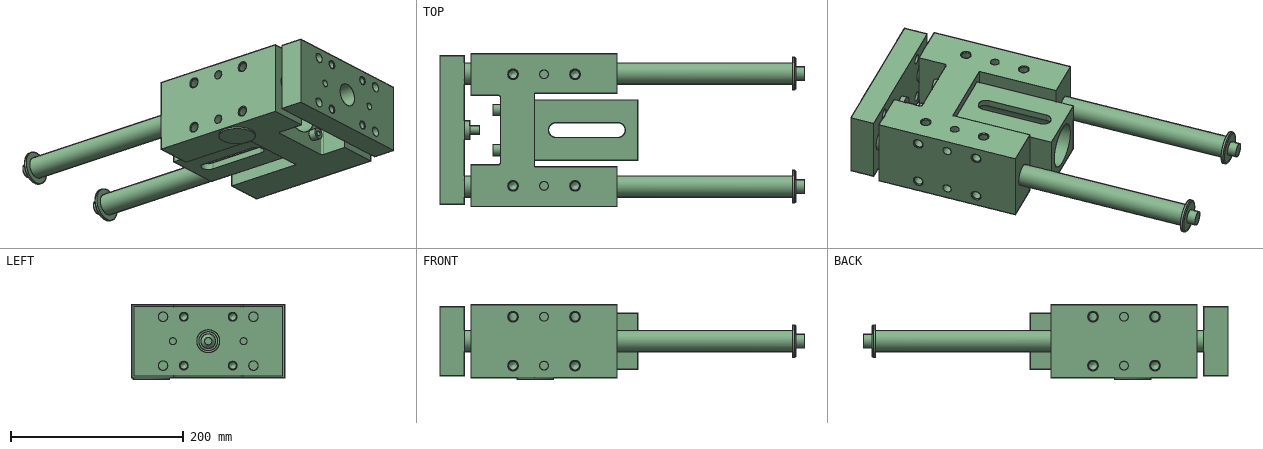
import cadquery as cq
import math


PLATE_LENGTH = 28.5
PLATE_WIDTH = 173.0
PLATE_HEIGHT = 80.5
PLATE_BORE_D = 26.5
PLATE_BORE_DEPTH = 22.0
TIP_SEAT_D = 22.0
TIP_SEAT_LENGTH = 1.3
TIP_BASE_D = 17.0
TIP_FLAT_D = 8.5
TIP_LENGTH = 4.2
COLLAR_D = 22.0
COLLAR_LENGTH = 6.5
STUD_D = 10.0
STUD_LENGTH = 11.5

HOLE_ROW_Z = 28.5
PLATE_CLEARANCE_Y = 52.5
PLATE_CLEARANCE_D = 11.0
PLATE_TAPPED_Y = 28.5
PLATE_TAPPED_D = 8.5
PLATE_TAPPED_MOUTH_D = 10.0
PLATE_TAPPED_DEPTH = 17.0
PLATE_DOWEL_Y = 41.0
PLATE_DOWEL_D = 8.0
PLATE_DOWEL_DEPTH = 12.7

ROD_D = 25.0
ROD_Y = 65.7
TOTAL_LENGTH = 424.0
ROD_END_D = 16.0
ROD_END_LENGTH = 10.0
FLANGE_D = 38.0
FLANGE_LENGTH = 4.0
FLANGE_CHAMFER = 1.3

HOUSING_START = 36.0
HOUSING_END = 206.0
HOUSING_WIDTH = 178.0
HOUSING_HEIGHT = 85.2
WEB_START = 70.5
WEB_END = 110.2
FRONT_OPENING_WIDTH = 80.5
FRONT_OPENING_FILLET = 2.5
REAR_OPENING_WIDTH = 85.2

MOUNT_CENTER_X = (HOUSING_START + HOUSING_END) / 2
MOUNT_HALF_SPACING = 36.0
MOUNT_TOP_Y = 65.0
MOUNT_D = 10.0
MOUNT_MOUTH_D = 12.5
MOUNT_DEPTH = 23.5
MOUNT_DOWEL_D = MOUNT_D
MOUNT_DOWEL_DEPTH = 10.0
DRILL_POINT_ANGLE = 118.0

BLOCK_END = 230.2
BLOCK_WIDTH = 70.5
BLOCK_HEIGHT = 65.5
SLOT_CENTER_X = 171.0
SLOT_LENGTH = 89.0
SLOT_WIDTH = 17.0
CYLINDER_BORE_D = 51.7

SCREW_HALF_SPACING = 23.5
SCREW_HEAD_D = 13.0
SCREW_HEAD_LENGTH = 9.0
SCREW_SOCKET_D = 6.0
SCREW_SOCKET_DEPTH = 4.2

PAD_X = 111.0
PAD_Y = 66.0
PAD_D = 42.5
PAD_HEIGHT = 2.0

SIDES = (-1, 1)
ALONG_X = (1, 0, 0)
DOWN = (0, 0, -1)


def rod(diameter, start, length, direction):
    """Cylinder from a start point along a direction."""
    return cq.Workplane(cq.Solid.makeCylinder(diameter / 2, length, cq.Vector(*start), cq.Vector(*direction)))


def cone(start_d, end_d, start, length, direction):
    """Truncated or pointed cone from a start point along a direction."""
    return cq.Workplane(
        cq.Solid.makeCone(start_d / 2, end_d / 2, length, cq.Vector(*start), cq.Vector(*direction))
    )


def box(x_start, x_end, width, height):
    """Box between two X positions, centred on Y = 0 and Z = 0."""
    return cq.Workplane().box(x_end - x_start, width, height).translate(((x_start + x_end) / 2, 0, 0))


def tapped_hole(diameter, mouth_d, depth, start, direction):
    """Blind hole with a 45 degree chamfered mouth and a conical drill point."""
    mouth_depth = (mouth_d - diameter) / 2
    point_length = diameter / 2 / math.tan(math.radians(DRILL_POINT_ANGLE / 2))
    bottom = cq.Vector(*start) + cq.Vector(*direction) * depth
    hole = rod(diameter, start, depth, direction)
    hole = hole.union(cone(mouth_d, diameter, start, mouth_depth, direction))
    return hole.union(cone(diameter, 0, bottom.toTuple(), point_length, direction))


def make_yoke():
    """Yoke plate with its two guide rods and the piston coupling."""
    yoke = box(0, PLATE_LENGTH, PLATE_WIDTH, PLATE_HEIGHT)

    yoke = yoke.cut(rod(PLATE_BORE_D, (0, 0, 0), PLATE_BORE_DEPTH, ALONG_X))
    for side in SIDES:
        y_dowel = side * PLATE_DOWEL_Y
        yoke = yoke.cut(rod(PLATE_DOWEL_D, (0, y_dowel, 0), PLATE_DOWEL_DEPTH, ALONG_X))
        for level in SIDES:
            z = level * HOLE_ROW_Z
            clearance = (0, side * PLATE_CLEARANCE_Y, z)
            tapped = (0, side * PLATE_TAPPED_Y, z)
            yoke = yoke.cut(rod(PLATE_CLEARANCE_D, clearance, PLATE_LENGTH, ALONG_X))
            yoke = yoke.cut(
                tapped_hole(PLATE_TAPPED_D, PLATE_TAPPED_MOUTH_D, PLATE_TAPPED_DEPTH, tapped, ALONG_X)
            )

    seat_start = PLATE_BORE_DEPTH - TIP_SEAT_LENGTH
    yoke = yoke.union(rod(TIP_SEAT_D, (seat_start, 0, 0), TIP_SEAT_LENGTH, ALONG_X))
    tip_start = seat_start - TIP_LENGTH
    yoke = yoke.union(cone(TIP_FLAT_D, TIP_BASE_D, (tip_start, 0, 0), TIP_LENGTH, ALONG_X))
    yoke = yoke.union(rod(COLLAR_D, (PLATE_LENGTH, 0, 0), COLLAR_LENGTH, ALONG_X))
    yoke = yoke.union(rod(STUD_D, (PLATE_LENGTH + COLLAR_LENGTH, 0, 0), STUD_LENGTH, ALONG_X))

    for side in SIDES:
        yoke = yoke.union(make_guide_rod(side * ROD_Y))
    return yoke


def make_guide_rod(y):
    """Guide rod with an end flange and a reduced end."""
    flange_end = TOTAL_LENGTH - ROD_END_LENGTH
    flange_start = flange_end - FLANGE_LENGTH
    flange = rod(FLANGE_D, (flange_start, y, 0), FLANGE_LENGTH, ALONG_X)
    flange = flange.faces(">X").chamfer(FLANGE_CHAMFER)
    guide = rod(ROD_D, (PLATE_LENGTH, y, 0), flange_start - PLATE_LENGTH, ALONG_X)
    return guide.union(flange).union(rod(ROD_END_D, (flange_end, y, 0), ROD_END_LENGTH, ALONG_X))


def make_housing():
    """H-shaped housing with the slotted block, cap screws and pad."""
    housing = box(HOUSING_START, HOUSING_END, HOUSING_WIDTH, HOUSING_HEIGHT)
    front_opening = box(HOUSING_START, WEB_START, FRONT_OPENING_WIDTH, HOUSING_HEIGHT)
    front_opening = front_opening.edges(">X and |Z").fillet(FRONT_OPENING_FILLET)
    housing = housing.cut(front_opening)
    housing = housing.cut(box(WEB_END, HOUSING_END, REAR_OPENING_WIDTH, HOUSING_HEIGHT))
    housing = housing.union(box(WEB_END, BLOCK_END, BLOCK_WIDTH, BLOCK_HEIGHT))

    slot = cq.Workplane().slot2D(SLOT_LENGTH, SLOT_WIDTH).extrude(BLOCK_HEIGHT / 2, both=True)
    housing = housing.cut(slot.translate((SLOT_CENTER_X, 0, 0)))
    housing = housing.cut(rod(CYLINDER_BORE_D, (WEB_START, 0, 0), BLOCK_END - WEB_START, ALONG_X))

    for side in SIDES:
        start = (HOUSING_START, side * ROD_Y, 0)
        housing = housing.cut(rod(ROD_D, start, HOUSING_END - HOUSING_START, ALONG_X))

    for side in SIDES:
        housing = cut_mount_row(housing, side * MOUNT_TOP_Y, HOUSING_HEIGHT / 2, DOWN)
        for level in SIDES:
            housing = cut_mount_row(housing, side * HOUSING_WIDTH / 2, level * HOLE_ROW_Z, (0, -side, 0))

    for side in SIDES:
        for level in SIDES:
            housing = housing.union(make_screw_head(side * SCREW_HALF_SPACING, level * SCREW_HALF_SPACING))

    return housing.union(rod(PAD_D, (PAD_X, PAD_Y, -HOUSING_HEIGHT / 2), PAD_HEIGHT, DOWN))


def cut_mount_row(housing, y, z, direction):
    """Cut a row of two tapped holes with a dowel hole midway between them."""
    for end in SIDES:
        start = (MOUNT_CENTER_X + end * MOUNT_HALF_SPACING, y, z)
        housing = housing.cut(tapped_hole(MOUNT_D, MOUNT_MOUTH_D, MOUNT_DEPTH, start, direction))
    return housing.cut(rod(MOUNT_DOWEL_D, (MOUNT_CENTER_X, y, z), MOUNT_DOWEL_DEPTH, direction))


def make_screw_head(y, z):
    """Cap screw head standing on the front of the web."""
    start = (WEB_START - SCREW_HEAD_LENGTH, y, z)
    head = rod(SCREW_HEAD_D, start, SCREW_HEAD_LENGTH, ALONG_X)
    return head.cut(rod(SCREW_SOCKET_D, start, SCREW_SOCKET_DEPTH, ALONG_X))


yoke = make_yoke()
housing = make_housing()
result = cq.Compound.makeCompound([yoke.solids().val(), housing.solids().val()])